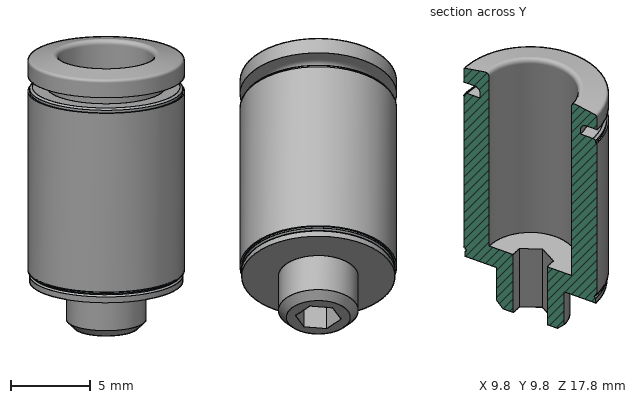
import cadquery as cq
import math

total_height = 17.8
shoulder_z = 3.0
body_top_z = 15.65
cap_underside_z = 16.4

stud_radius = 5.0 / 2
stud_chamfer = 0.5

core_radius = 9.6 / 2
sleeve_radius = 9.8 / 2
core_top_chamfer_height = 0.1
core_top_chamfer_width = 0.18
sleeve_top_z = 15.38
sleeve_bottom_z = 3.71

groove_center_z = 3.49
groove_depth = 0.11

neck_radius = 7.4 / 2
neck_fillet = 0.4
cap_radius = sleeve_radius
cap_rim_fillet = 0.2
cap_slope = math.radians(10)

bore_radius = 6.0 / 2
bore_lip_radius = 0.3
bore_depth = 13.3
hex_sides = 6
hex_across_flats = 2.5

quarter_turn = math.pi / 2
inward_upward = 1.5 * quarter_turn


def arc_point(center, radius, angle):
    """Point (r, z) on an arc, with the angle counted from the outward radial direction."""
    return (center[0] + radius * math.cos(angle), center[1] + radius * math.sin(angle))


def revolve_about_z(profile):
    return profile.close().revolve(360, (0, 0, 0), (0, 1, 0))


def make_stud_and_body():
    profile = (
        cq.Workplane("XZ")
        .moveTo(0, 0)
        .lineTo(stud_radius - stud_chamfer, 0)
        .lineTo(stud_radius, stud_chamfer)
        .lineTo(stud_radius, shoulder_z)
        .lineTo(core_radius, shoulder_z)
        .lineTo(core_radius, groove_center_z - groove_depth)
        .lineTo(core_radius - groove_depth, groove_center_z)
        .lineTo(core_radius, groove_center_z + groove_depth)
        .lineTo(core_radius, sleeve_bottom_z)
        .lineTo(sleeve_radius, sleeve_bottom_z)
        .lineTo(sleeve_radius, sleeve_top_z)
        .lineTo(core_radius, sleeve_top_z)
        .lineTo(core_radius, body_top_z - core_top_chamfer_height)
        .lineTo(core_radius - core_top_chamfer_width, body_top_z)
        .lineTo(0, body_top_z)
    )
    return revolve_about_z(profile)


def make_neck_and_cap():
    rim_center_r = cap_radius - cap_rim_fillet
    lip_outer_radius = bore_radius + bore_lip_radius
    rim_arc_top_angle = quarter_turn - cap_slope
    rim_arc_top_r = rim_center_r + cap_rim_fillet * math.cos(rim_arc_top_angle)
    rim_arc_top_z = total_height - (rim_arc_top_r - lip_outer_radius) * math.tan(cap_slope)
    rim_center = (rim_center_r, rim_arc_top_z - cap_rim_fillet * math.sin(rim_arc_top_angle))

    neck_center = (neck_radius + neck_fillet, cap_underside_z - neck_fillet)
    profile = (
        cq.Workplane("XZ")
        .moveTo(0, body_top_z)
        .lineTo(neck_radius, body_top_z)
        .lineTo(neck_radius, neck_center[1])
        .threePointArc(
            arc_point(neck_center, neck_fillet, inward_upward),
            (neck_center[0], cap_underside_z),
        )
        .lineTo(cap_radius, cap_underside_z)
        .lineTo(cap_radius, rim_center[1])
        .threePointArc(
            arc_point(rim_center, cap_rim_fillet, rim_arc_top_angle / 2),
            (rim_arc_top_r, rim_arc_top_z),
        )
        .lineTo(lip_outer_radius, total_height)
        .lineTo(0, total_height)
    )
    return revolve_about_z(profile)


def make_bore():
    """Flat-bottomed bore whose mouth is rounded outwards."""
    lip_center = (bore_radius + bore_lip_radius, total_height - bore_lip_radius)
    floor_z = total_height - bore_depth
    profile = (
        cq.Workplane("XZ")
        .moveTo(0, floor_z)
        .lineTo(bore_radius, floor_z)
        .lineTo(bore_radius, lip_center[1])
        .threePointArc(
            arc_point(lip_center, bore_lip_radius, inward_upward),
            (lip_center[0], total_height),
        )
        .lineTo(0, total_height)
    )
    return revolve_about_z(profile)


def make_hex_hole():
    """Hexagonal through hole with two corners on the Y axis."""
    across_corners = hex_across_flats / math.cos(math.pi / hex_sides)
    return (
        cq.Workplane("XY")
        .polygon(hex_sides, across_corners)
        .extrude(total_height)
        .rotate((0, 0, 0), (0, 0, 1), math.degrees(quarter_turn))
    )


result = (
    make_stud_and_body()
    .union(make_neck_and_cap())
    .cut(make_bore())
    .cut(make_hex_hole())
)